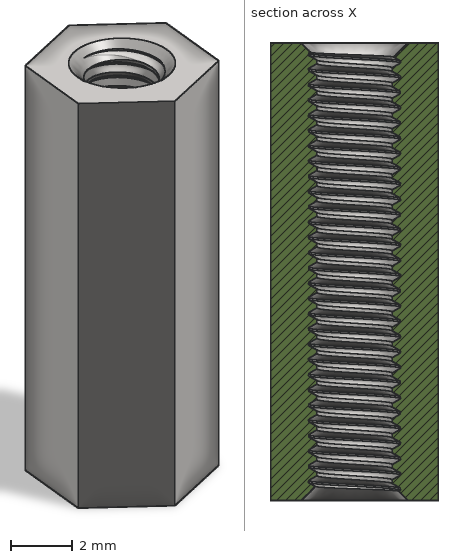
import cadquery as cq
import math

length = 15.0
across_flats = 5.5
across_corners = across_flats / math.cos(math.pi / 6)

major_diameter = 3.0
pitch = 0.5
sharp_height = pitch * math.sqrt(3) / 2
thread_depth = 5 / 8 * sharp_height
major_radius = major_diameter / 2
minor_radius = major_radius - thread_depth
root_flat = pitch / 8
groove_mouth = pitch * 3 / 4

cutter_overlap = 0.05

groove_overrun = pitch
blank_overrun = 2 * pitch

countersink_diameter = 3.5
countersink_angle = 90.0


def hex_prism(bottom, top):
    return cq.Workplane("XY", origin=(0, 0, bottom)).polygon(6, across_corners).extrude(top - bottom)


def bored_blank():
    """Hex bar longer than the part, with the plain minor-diameter bore."""
    bar = hex_prism(-blank_overrun, length + blank_overrun)
    return bar.faces(">Z").workplane().hole(2 * minor_radius)


def thread_groove():
    """Right-handed helical V groove with a flat root, as a cutting solid."""
    flank_slope = (groove_mouth - root_flat) / 2 / thread_depth
    inner_radius = minor_radius - cutter_overlap
    inner_half_width = groove_mouth / 2 + cutter_overlap * flank_slope
    helix = cq.Wire.makeHelix(pitch, length + 2 * groove_overrun, minor_radius)
    groove = (
        cq.Workplane("XZ")
        .polyline([
            (inner_radius, -inner_half_width),
            (major_radius, -root_flat / 2),
            (major_radius, root_flat / 2),
            (inner_radius, inner_half_width),
        ])
        .close()
        .sweep(cq.Workplane(obj=helix), isFrenet=True)
    )
    return groove.translate((0, 0, -groove_overrun))


def countersink():
    """Cone with its wide end on the bottom face, pointing up into the bore."""
    radius = countersink_diameter / 2
    depth = radius / math.tan(math.radians(countersink_angle / 2))
    return cq.Workplane(obj=cq.Solid.makeCone(radius, 0, depth))


threaded_blank = bored_blank().cut(thread_groove())
bottom_countersink = countersink()
top_countersink = bottom_countersink.mirror("XY").translate((0, 0, length))

result = (
    threaded_blank
    .intersect(hex_prism(0, length))
    .cut(bottom_countersink)
    .cut(top_countersink)
)